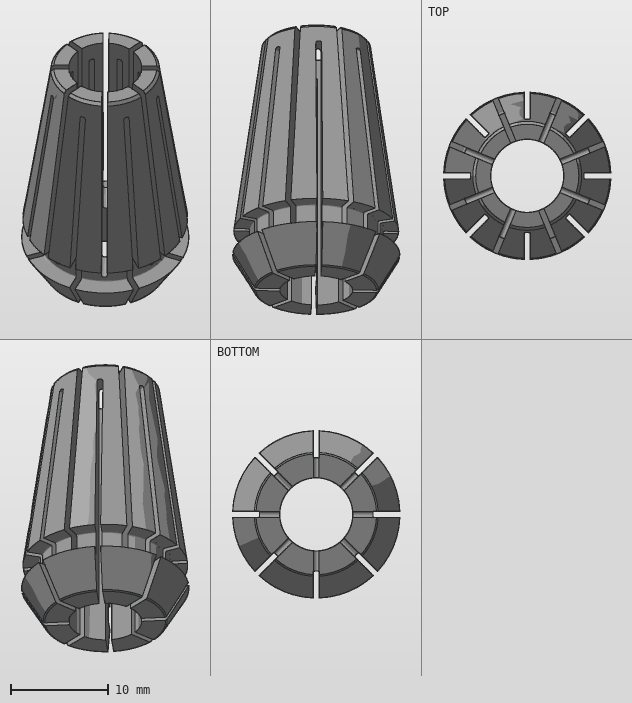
import cadquery as cq
import math

total_height = 27.5
bore_diameter = 7.5
bore_radius = bore_diameter / 2

flange_diameter = 17.25
flange_radius = flange_diameter / 2
flange_height = 4.0
flange_half_angle = 30.0
bottom_edge_chamfer = 0.1

neck_radius = 6.88
neck_fillet = 0.2

taper_start = 6.65
taper_base_radius = 8.5
taper_half_angle = 8.0
top_chamfer = 0.3

slots_per_end = 8
slot_width = 0.6
bottom_slot_end = 25.5
top_slot_end = 4.62

slot_pitch = 360.0 / slots_per_end
slot_radius = slot_width / 2
cut_margin = 1.38


def collet_body():
    """Revolve the outer profile around Z, bore included."""
    flange_slope = math.tan(math.radians(flange_half_angle))
    bottom_radius = flange_radius - flange_height * flange_slope
    taper_slope = math.tan(math.radians(taper_half_angle))
    shoulder_height = total_height - top_chamfer
    shoulder_radius = taper_base_radius - (shoulder_height - taper_start) * taper_slope

    arc_mid = neck_fillet * (1 - math.sqrt(0.5))

    return (
        cq.Workplane("XZ")
        .moveTo(bore_radius, 0)
        .lineTo(bottom_radius - bottom_edge_chamfer, 0)
        .lineTo(bottom_radius + bottom_edge_chamfer * flange_slope, bottom_edge_chamfer)
        .lineTo(flange_radius, flange_height)
        .lineTo(neck_radius + neck_fillet, flange_height)
        .threePointArc(
            (neck_radius + arc_mid, flange_height + arc_mid),
            (neck_radius, flange_height + neck_fillet),
        )
        .lineTo(neck_radius, taper_start - neck_fillet)
        .threePointArc(
            (neck_radius + arc_mid, taper_start - arc_mid),
            (neck_radius + neck_fillet, taper_start),
        )
        .lineTo(taper_base_radius, taper_start)
        .lineTo(shoulder_radius, shoulder_height)
        .lineTo(shoulder_radius - top_chamfer, total_height)
        .lineTo(bore_radius, total_height)
        .close()
        .revolve(360, (0, 0, 0), (0, 1, 0))
    )


def radial_slot(open_z, round_z, angle):
    """Slot on one side of the axis, open at open_z and fully rounded at round_z."""
    inward = math.copysign(slot_radius, open_z - round_z)
    arc_centre_z = round_z + inward
    return (
        cq.Workplane("YZ")
        .moveTo(-slot_radius, open_z)
        .lineTo(-slot_radius, arc_centre_z)
        .threePointArc((0, round_z), (slot_radius, arc_centre_z))
        .lineTo(slot_radius, open_z)
        .close()
        .extrude(flange_radius + cut_margin)
        .rotate((0, 0, 0), (0, 0, 1), angle)
    )


result = collet_body()
for index in range(slots_per_end):
    bottom_angle = index * slot_pitch
    top_angle = bottom_angle + slot_pitch / 2
    result = result.cut(radial_slot(-cut_margin, bottom_slot_end, bottom_angle))
    result = result.cut(radial_slot(total_height + cut_margin, top_slot_end, top_angle))